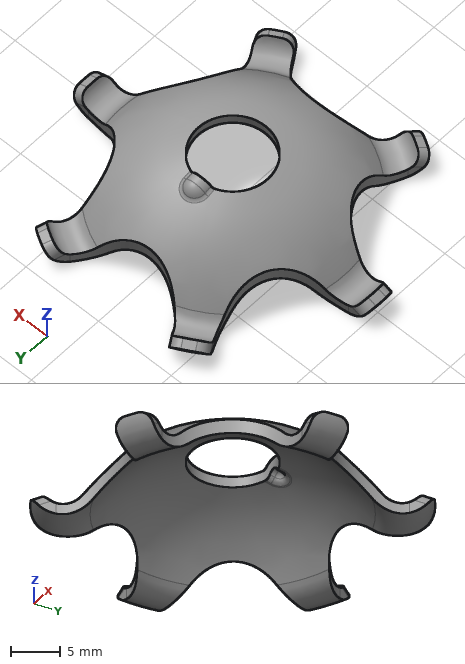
import cadquery as cq
import math

arm_count = 6
wall = 1.25
dome_radius = 20.1
bend_radius = 2.35
tip_reach = 20.5
hole_diameter = 9.5
scallop_radius = 8.2
arm_width = 4.25
tip_corner_radius = 1.4
tip_angle = math.radians(-21)

ridge_radius = 1.6
ridge_sink = 0.78
ridge_fillet = 0.57
groove_radius = 0.78
groove_fillet = 0.8
ridge_start_angle = math.radians(8.5)
ridge_end_angle = math.radians(16)

under_bend_radius = bend_radius + wall
under_dome_radius = dome_radius - wall
bend_center_r = tip_reach - under_bend_radius * math.cos(tip_angle)
slope = math.asin(bend_center_r / (dome_radius + bend_radius))
bend_center_z = under_bend_radius
dome_center_z = bend_center_z - (dome_radius + bend_radius) * math.cos(slope)


def dome_point(radius, angle):
    """Section point at an angle from the vertical axis of the dome."""
    return (radius * math.sin(angle), dome_center_z + radius * math.cos(angle))


def bend_point(radius, angle):
    """Section point at an angle from horizontal about the bend centre."""
    return (
        bend_center_r + radius * math.cos(angle),
        bend_center_z + radius * math.sin(angle),
    )


def make_shell():
    """Dome with an upturned rim, revolved as one constant-thickness wall."""
    bottom = -math.pi / 2
    return (
        cq.Workplane("XZ")
        .moveTo(*dome_point(dome_radius, 0))
        .threePointArc(dome_point(dome_radius, slope / 2), dome_point(dome_radius, slope))
        .threePointArc(bend_point(bend_radius, bottom), bend_point(bend_radius, tip_angle))
        .lineTo(*bend_point(under_bend_radius, tip_angle))
        .threePointArc(
            bend_point(under_bend_radius, bottom), dome_point(under_dome_radius, slope)
        )
        .threePointArc(
            dome_point(under_dome_radius, slope / 2), dome_point(under_dome_radius, 0)
        )
        .close()
        .revolve(360, (0, 0), (0, 1))
    )


def make_gap():
    """Cutter between two arms: a round scallop with sides parallel to the arms."""
    half_pitch = math.pi / arm_count
    center = (scallop_radius + arm_width / 2) / math.sin(half_pitch)
    tangent_x = center - scallop_radius * math.sin(half_pitch)
    tangent_y = scallop_radius * math.cos(half_pitch)
    far_x = tangent_x + tip_reach * math.cos(half_pitch)
    far_y = tangent_y + tip_reach * math.sin(half_pitch)
    return (
        cq.Workplane("XY")
        .moveTo(far_x, -far_y)
        .lineTo(tangent_x, -tangent_y)
        .threePointArc((center - scallop_radius, 0), (tangent_x, tangent_y))
        .lineTo(far_x, far_y)
        .close()
        .extrude(dome_radius)
    )


def around(point, size):
    """Selector for edges centred in a cube about a point."""
    low = [value - size / 2 for value in point]
    high = [value + size / 2 for value in point]
    return cq.selectors.BoxSelector(low, high)


def round_arm_tips(body):
    """Round both corners of each arm end through the wall."""
    tip_r, tip_z = bend_point(bend_radius + wall / 2, tip_angle)
    for index in range(arm_count):
        angle = 2 * math.pi * index / arm_count
        for side in (-arm_width / 2, arm_width / 2):
            corner = (
                tip_r * math.cos(angle) - side * math.sin(angle),
                tip_r * math.sin(angle) + side * math.cos(angle),
                tip_z,
            )
            body = body.edges(around(corner, wall / 2)).fillet(tip_corner_radius)
    return body


def make_capsule(radius, axis_radius):
    """Round-ended bar that follows the +Y slope of the dome."""
    start = cq.Vector(0, *dome_point(axis_radius, ridge_start_angle))
    end = cq.Vector(0, *dome_point(axis_radius, ridge_end_angle))
    axis = end - start
    capsule = cq.Workplane(cq.Solid.makeCylinder(radius, axis.Length, start, axis))
    for point in (start, end):
        capsule = capsule.union(cq.Workplane("XY").sphere(radius).translate(point.toTuple()))
    return capsule


def blend_foot(body, radius, surface_radius, fillet):
    """Fillet the curved edges where a capsule meets a spherical surface of the dome."""
    middle_angle = (ridge_start_angle + ridge_end_angle) / 2
    middle = (0, *dome_point(surface_radius, middle_angle))
    edge_zone = around(middle, 2.6 * radius)
    return body.edges(edge_zone).edges("%BSPLINE").fillet(fillet)


def add_ridge(body):
    """Ridge on top of the dome, blended at its foot."""
    under_dome = cq.Workplane("XY").sphere(under_dome_radius).translate((0, 0, dome_center_z))
    ridge = make_capsule(ridge_radius, dome_radius - ridge_sink).cut(under_dome)
    return blend_foot(body.union(ridge), ridge_radius, dome_radius, ridge_fillet)


def cut_groove(body):
    """Groove under the ridge, blended into the underside of the dome."""
    body = body.cut(make_capsule(groove_radius, under_dome_radius))
    return blend_foot(body, groove_radius, under_dome_radius, groove_fillet)


shell = make_shell()
gap = make_gap()
for index in range(arm_count):
    gap_angle = 360 / arm_count * (index + 0.5)
    shell = shell.cut(gap.rotate((0, 0, 0), (0, 0, 1), gap_angle))
shell = round_arm_tips(shell)
shell = add_ridge(shell)
shell = cut_groove(shell)
result = shell.cut(cq.Workplane("XY").circle(hole_diameter / 2).extrude(dome_radius))